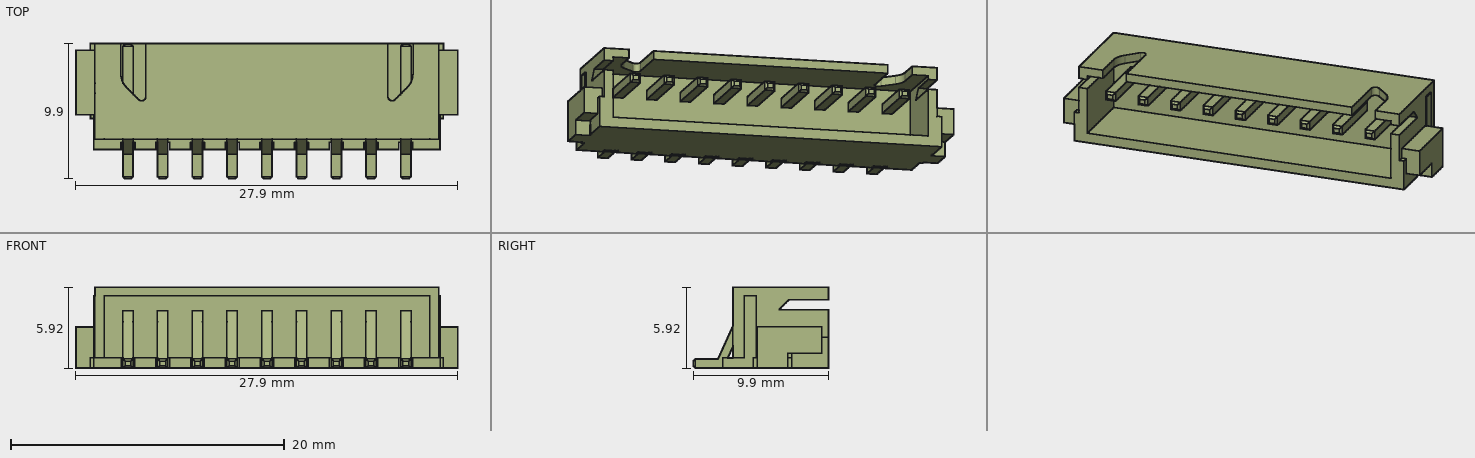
import cadquery as cq


HOUSING_WIDTH = 25.15
HOUSING_DEPTH = 7.0
HOUSING_HEIGHT = 5.92
SIDE_WALL = 0.67
ROOF = 0.65
FLOOR = 0.75

CARRIER_WIDTH = 25.31
CARRIER_BACK = 5.3
CARRIER_FRONT = 6.17
FOOT_FRONT = 7.75
NOTCH_WIDTH = 1.0
NOTCH_DEPTH = 0.53

ROOF_SLOT_OUTER_X = 10.7
ROOF_SLOT_INNER_X = 8.85
ROOF_SLOT_OUTER_CORNER = 2.8
ROOF_SLOT_SHOULDER_RADIUS = 1.54
ROOF_SLOT_TIP_RADIUS = 0.3

SIDE_SLOT_BOTTOM = 4.27
SIDE_SLOT_TOP = 5.0
SIDE_SLOT_DEPTH = 3.63

REAR_SKIRT_SPAN = 25.85
FRONT_SKIRT_SPAN = 25.8
REAR_SKIRT_DEPTH = 2.7
REAR_SKIRT_HEIGHT = 2.25
FRONT_SKIRT_DEPTH = 5.5
TAB_SPAN = 27.9
TAB_BACK = 0.5
TAB_FRONT = 5.22
TAB_TOP = 3.01
TAB_ARM_BOTTOM = 1.1
TAB_LEG_BACK = 3.0

PIN_COUNT = 9
PIN_PITCH = 2.55
PIN_WIDTH = 0.75
PIN_THICKNESS = 0.67
PIN_TOP = 4.2
PIN_BACK = 0.05
PIN_REACH = 9.9
PIN_BEND_TOP = 6.5
PIN_BEND_BOTTOM = 8.1
PIN_SLANT_THICKNESS = 0.7
PIN_TIP_CHAMFER = 0.17

pin_positions = [(i - (PIN_COUNT - 1) / 2) * PIN_PITCH for i in range(PIN_COUNT)]


def block(width, back, front, bottom, top):
    """Box centred on X, with back and front given as distances behind the mating face."""
    return (
        cq.Workplane("XY")
        .box(width, front - back, top - bottom, centered=(True, False, False))
        .translate((0, -front, bottom))
    )


def side_prism(points, width):
    """Extrude a (Y, Z) outline symmetrically along X."""
    return cq.Workplane("YZ").polyline(points).close().extrude(width / 2, both=True)


def make_housing():
    outer = block(HOUSING_WIDTH, 0, HOUSING_DEPTH, 0, HOUSING_HEIGHT)
    opening_width = HOUSING_WIDTH - 2 * SIDE_WALL
    opening = block(opening_width, 0, HOUSING_DEPTH, FLOOR, HOUSING_HEIGHT - ROOF)
    return outer.cut(opening)


def make_carrier():
    wall = block(CARRIER_WIDTH, CARRIER_BACK, CARRIER_FRONT, 0, HOUSING_HEIGHT - ROOF)
    foot = block(CARRIER_WIDTH, CARRIER_FRONT, FOOT_FRONT, 0, FLOOR)
    return wall.union(foot)


def make_foot_notch(x):
    return block(NOTCH_WIDTH, FOOT_FRONT - NOTCH_DEPTH, FOOT_FRONT, 0, FLOOR).translate((x, 0, 0))


def make_roof_slot():
    """Slot on the -X side: a 45 degree end with a rounded shoulder and tip."""
    tip_depth = ROOF_SLOT_OUTER_CORNER + ROOF_SLOT_OUTER_X - ROOF_SLOT_INNER_X
    outline = [
        (-ROOF_SLOT_OUTER_X, 0),
        (-ROOF_SLOT_INNER_X, 0),
        (-ROOF_SLOT_INNER_X, -tip_depth),
        (-ROOF_SLOT_OUTER_X, -ROOF_SLOT_OUTER_CORNER),
    ]
    slot = (
        cq.Workplane("XY", origin=(0, 0, HOUSING_HEIGHT - ROOF))
        .polyline(outline)
        .close()
        .extrude(ROOF)
    )
    slot = slot.edges("|Z and <Y").fillet(ROOF_SLOT_TIP_RADIUS)
    shoulder = cq.selectors.NearestToPointSelector(
        (-ROOF_SLOT_OUTER_X, -ROOF_SLOT_OUTER_CORNER, HOUSING_HEIGHT - ROOF / 2)
    )
    return slot.edges(shoulder).fillet(ROOF_SLOT_SHOULDER_RADIUS)


def make_side_slots():
    slope_run = SIDE_SLOT_TOP - SIDE_SLOT_BOTTOM
    outline = [
        (0, SIDE_SLOT_BOTTOM),
        (-SIDE_SLOT_DEPTH, SIDE_SLOT_BOTTOM),
        (-SIDE_SLOT_DEPTH + slope_run, SIDE_SLOT_TOP),
        (0, SIDE_SLOT_TOP),
    ]
    return side_prism(outline, HOUSING_WIDTH)


def make_end_fittings():
    """Skirts and L-shaped solder tabs, kept only outside the housing."""
    rear_skirt = block(REAR_SKIRT_SPAN, 0, REAR_SKIRT_DEPTH, 0, REAR_SKIRT_HEIGHT)
    front_skirt = block(FRONT_SKIRT_SPAN, REAR_SKIRT_DEPTH, FRONT_SKIRT_DEPTH, 0, FLOOR)
    tab_arm = block(TAB_SPAN, TAB_BACK, TAB_FRONT, TAB_ARM_BOTTOM, TAB_TOP)
    tab_leg = block(TAB_SPAN, TAB_LEG_BACK, TAB_FRONT, 0, TAB_TOP)
    fittings = rear_skirt.union(front_skirt).union(tab_arm).union(tab_leg)
    return fittings.cut(block(HOUSING_WIDTH, 0, HOUSING_DEPTH, 0, HOUSING_HEIGHT))


def make_pin():
    """Straight contact, slanted drop and flat solder foot, with chamfered ends."""
    pin_bottom = PIN_TOP - PIN_THICKNESS
    slant_drop = PIN_TOP - PIN_THICKNESS
    slant_run_per_height = (PIN_BEND_BOTTOM - PIN_BEND_TOP) / slant_drop

    def slant_underside(z):
        return PIN_BEND_TOP + (PIN_TOP - z) * slant_run_per_height - PIN_SLANT_THICKNESS

    outline = [
        (-PIN_BACK, PIN_TOP),
        (-PIN_BEND_TOP, PIN_TOP),
        (-PIN_BEND_BOTTOM, PIN_THICKNESS),
        (-PIN_REACH, PIN_THICKNESS),
        (-PIN_REACH, 0),
        (-slant_underside(0), 0),
        (-slant_underside(pin_bottom), pin_bottom),
        (-PIN_BACK, pin_bottom),
    ]
    pin = side_prism(outline, PIN_WIDTH)
    return pin.faces("<Y or >Y").edges().chamfer(PIN_TIP_CHAMFER)


roof_slot = make_roof_slot()
result = (
    make_housing()
    .cut(roof_slot)
    .cut(roof_slot.mirror("YZ"))
    .cut(make_side_slots())
    .union(make_carrier())
    .union(make_end_fittings())
)
pin = make_pin()
for x in pin_positions:
    result = result.cut(make_foot_notch(x)).union(pin.translate((x, 0, 0)))